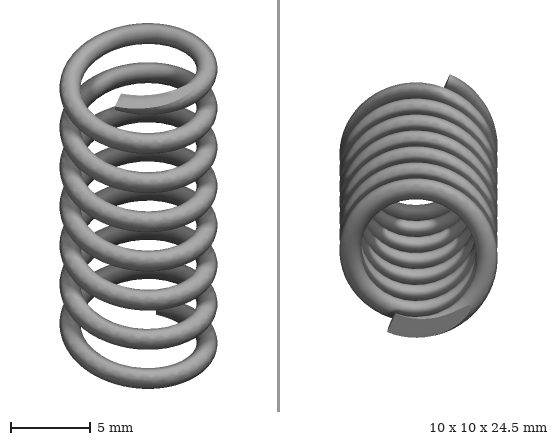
import cadquery as cq

free_length = 24.5
outer_diameter = 10.0
wire_diameter = 1.32
turns = 7.5

pitch = free_length / turns
wire_radius = wire_diameter / 2
coil_radius = (outer_diameter - wire_diameter) / 2
start_angle = 90.0


def make_coil():
    """Round wire whose centreline climbs clockwise from Z = 0 to the free length."""
    centreline = cq.Wire.makeHelix(pitch, free_length, coil_radius, lefthand=True)
    wire_section = cq.Workplane("XZ").center(coil_radius, 0).circle(wire_radius)
    coil = wire_section.sweep(cq.Workplane(centreline), isFrenet=True)
    return coil.rotate((0, 0, 0), (0, 0, 1), start_angle)


def make_grinding_envelope():
    """Cylinder wider than the coil, with its flat ends on the two ground planes."""
    return cq.Workplane("XY").circle(outer_diameter).extrude(free_length)


result = make_coil().intersect(make_grinding_envelope())